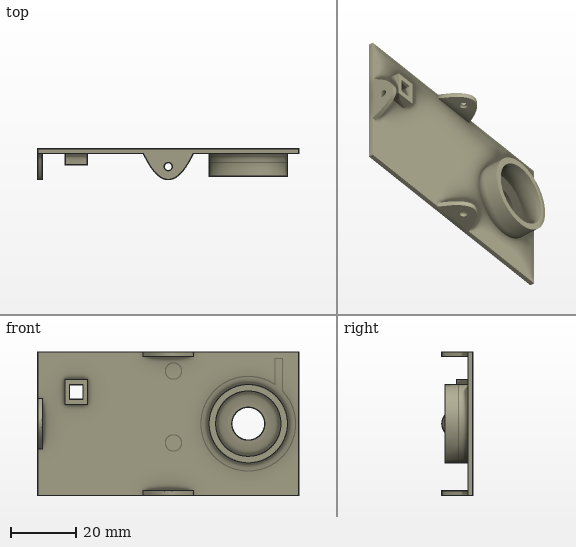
import cadquery as cq

PLATE_LENGTH = 80.0
PLATE_HEIGHT = 44.0
PLATE_THICKNESS = 1.5

LUG_WIDTH = 15.4
LUG_REACH = 8.0
LUG_THICKNESS = 1.5
LUG_HOLE_DIAMETER = 2.4
LUG_HOLE_REACH = LUG_REACH / 2

SOCKET_X = 64.5
SOCKET_OUTER_DIAMETER = 24.0
SOCKET_INNER_DIAMETER = 20.0
SOCKET_BASE_DEPTH = 2.8
SOCKET_DEPTH = 7.0
CENTRE_HOLE_DIAMETER = 10.0

INLAY_DEPTH = PLATE_THICKNESS / 2
DISC_INLAY_DIAMETER = 29.0
STRIP_LEFT = 72.6
STRIP_WIDTH = 2.4
STRIP_EDGE_GAP = 2.0
STRIP_TOP = PLATE_HEIGHT / 2 - STRIP_EDGE_GAP
SPOT_DIAMETER = 5.0
SPOT_X = 41.6
SPOT_HEIGHTS = (16.1, -5.9)

TUBE_X = 11.85
TUBE_Z = 9.7
TUBE_WIDTH = 6.8
TUBE_HEIGHT = 7.7
TUBE_DEPTH = 3.5
WINDOW_WIDTH = 4.0
WINDOW_HEIGHT = 4.4


def front_plane(y=0.0):
    """Plane whose local x, y are X, Z and whose normal points to -Y."""
    return cq.Workplane("XZ", origin=(0, y, 0))


def make_plate():
    return (
        front_plane()
        .center(PLATE_LENGTH / 2, 0)
        .rect(PLATE_LENGTH, PLATE_HEIGHT)
        .extrude(-PLATE_THICKNESS)
    )


def make_lug():
    """Parabolic lug lying flat on z = 0, centred on x = 0 and reaching toward -Y."""
    half_width = LUG_WIDTH / 2
    outline = (
        cq.Workplane("XY")
        .moveTo(-half_width, 0)
        .bezier([(-half_width, 0), (0, -2 * LUG_REACH), (half_width, 0)])
        .close()
        .extrude(LUG_THICKNESS)
    )
    hole = (
        cq.Workplane("XY")
        .center(0, -LUG_HOLE_REACH)
        .circle(LUG_HOLE_DIAMETER / 2)
        .extrude(LUG_THICKNESS)
    )
    return outline.cut(hole)


def make_lugs():
    lug = make_lug()
    bottom = lug.translate((PLATE_LENGTH / 2, 0, -PLATE_HEIGHT / 2))
    top = lug.translate((PLATE_LENGTH / 2, 0, PLATE_HEIGHT / 2 - LUG_THICKNESS))
    left = lug.rotate((0, 0, 0), (0, 1, 0), 90)
    return bottom, top, left


def make_socket_cylinder(diameter, start, end):
    """Cylinder on the socket axis between two distances in front of the plate's front face."""
    return front_plane(-start).center(SOCKET_X, 0).circle(diameter / 2).extrude(end - start)


def make_inlays():
    disc = front_plane().center(SOCKET_X, 0).circle(DISC_INLAY_DIAMETER / 2).extrude(-INLAY_DEPTH)
    strip = (
        front_plane()
        .center(STRIP_LEFT + STRIP_WIDTH / 2, STRIP_TOP / 2)
        .rect(STRIP_WIDTH, STRIP_TOP)
        .extrude(-INLAY_DEPTH)
    )
    spots = [
        front_plane().center(SPOT_X, height).circle(SPOT_DIAMETER / 2).extrude(-INLAY_DEPTH)
        for height in SPOT_HEIGHTS
    ]
    return [disc.union(strip)] + spots


def make_tube():
    return front_plane().center(TUBE_X, TUBE_Z).rect(TUBE_WIDTH, TUBE_HEIGHT).extrude(TUBE_DEPTH)


def make_window():
    return (
        front_plane(PLATE_THICKNESS)
        .center(TUBE_X, TUBE_Z)
        .rect(WINDOW_WIDTH, WINDOW_HEIGHT)
        .extrude(PLATE_THICKNESS + TUBE_DEPTH)
    )


bottom_lug, top_lug, left_lug = make_lugs()
result = make_plate().union(bottom_lug).union(top_lug)

result = result.union(left_lug, clean=False)
for inlay in make_inlays():
    result = result.cut(inlay, clean=False).union(inlay, clean=False)
result = result.union(make_tube(), clean=False)
result = result.cut(make_window(), clean=False)

socket = make_socket_cylinder(SOCKET_OUTER_DIAMETER, 0, SOCKET_BASE_DEPTH)
socket_rim = make_socket_cylinder(SOCKET_OUTER_DIAMETER, SOCKET_BASE_DEPTH, SOCKET_DEPTH)
socket_bore = make_socket_cylinder(SOCKET_INNER_DIAMETER, 0, SOCKET_DEPTH)
socket = socket.union(socket_rim, clean=False).cut(socket_bore, clean=False)
result = result.union(socket, clean=False)

centre_hole = make_socket_cylinder(CENTRE_HOLE_DIAMETER, -PLATE_THICKNESS, 0)
result = result.cut(centre_hole, clean=False)